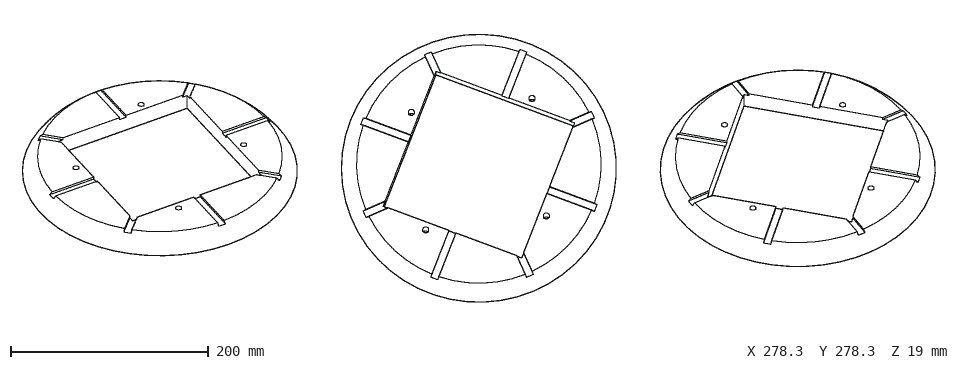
import cadquery as cq
import math

base_diameter = 278.3
top_diameter = 247.5
height = 19.0
flank_bulge = 1.0
window_side = 150.0

groove_count = 8
groove_width = 7.5
groove_depth = 2.5

hole_count = 4
hole_diameter = 6.0
hole_x = 26.0
hole_y = 83.0


def make_body():
    """Revolved disc, wide end down, with the square window cut through."""
    base_radius = base_diameter / 2
    top_radius = top_diameter / 2
    flank_chord = math.hypot(base_radius - top_radius, height)
    flank_middle = (
        (base_radius + top_radius) / 2 + flank_bulge * height / flank_chord,
        height / 2 + flank_bulge * (base_radius - top_radius) / flank_chord,
    )
    disc = (
        cq.Workplane("XZ")
        .lineTo(base_radius, 0)
        .threePointArc(flank_middle, (top_radius, height))
        .lineTo(0, height)
        .close()
        .revolve(360, (0, 0), (0, 1))
    )
    window = cq.Workplane("XY").rect(window_side, window_side).extrude(height)
    return disc.cut(window)


def cut_grooves(body):
    """Each full-length bar makes two opposite grooves."""
    bar_count = groove_count // 2
    bar = (
        cq.Workplane("XY", origin=(0, 0, height - groove_depth))
        .rect(base_diameter, groove_width)
        .extrude(groove_depth)
    )
    for index in range(bar_count):
        body = body.cut(bar.rotate((0, 0, 0), (0, 0, 1), index * 180 / bar_count))
    return body


def cut_holes(body):
    """Through holes set off-centre along each side of the window."""
    hole = cq.Workplane("XY").center(hole_x, hole_y).circle(hole_diameter / 2).extrude(height)
    for index in range(hole_count):
        body = body.cut(hole.rotate((0, 0, 0), (0, 0, 1), index * 360 / hole_count))
    return body


result = cut_holes(cut_grooves(make_body()))